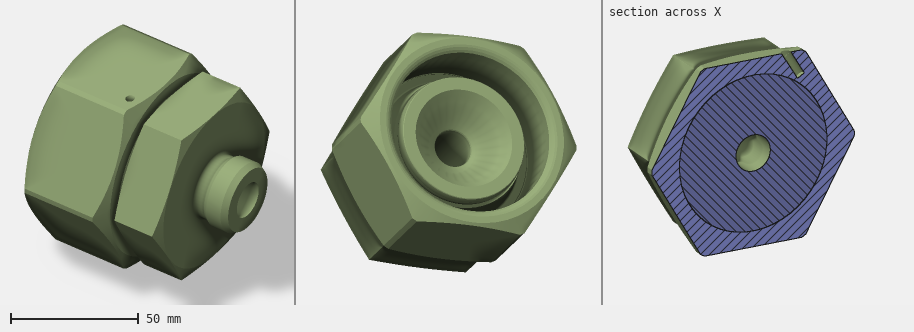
import cadquery as cq
import math

NUT_LENGTH = 40.05
NUT_FLATS = 79.0
NUT_CORNERS = 90.0
NUT_FACE_RADIUS = 38.4
NUT_CHAMFER_ANGLE = 30.0
NUT_BORE_RADIUS = 66.0 / 2
MOUTH_ROUNDING = (
    (0, 35.7),
    (0.3, 34.8),
    (0.9, 33.8),
    (1.8, NUT_BORE_RADIUS),
)

HOLE_DIAMETER = 3.5
HOLE_X = 33.1
HOLE_Y = -14.7
HOLE_TILT = 31.0
HOLE_STEP_DEPTH = 2.3
HOLE_DEPTH = 12.6
HOLE_INNER_DIAMETER = 3.3

TIP_X = 9.0
TIP_OUTER_RADIUS = 25.4
TIP_CHAMFER = 0.3
MOUTH_CONE_RADIUS = 20.2
MOUTH_CONE_DEPTH = 12.1
BORE_RADIUS = 15.0 / 2
BORE_EDGE = 0.3
SEAT_HALF_ANGLE = 12.0
FLANGE_X = 25.9
FLANGE_FILLET = 0.7
COLLAR_RADIUS = 65.25 / 2
COLLAR_CHAMFER = 0.3
HEX_START = 42.0
HEX_END = 62.9
HEX_FLATS = 70.0
HEX_CORNERS = 80.8
HEX_FACE_RADIUS = 34.8
HEX_CHAMFER_ANGLE = 15.0
COLLAR_FILLET = 0.9

STUD_END = 79.0
STUD_RADIUS = 30.0 / 2
NECK_RADIUS = 26.9 / 2
NECK_FILLET = 1.1
NECK_END = 66.8
NECK_BLEND_LENGTH = 0.6
NECK_BLEND_RISE = 0.2
STUD_START = 69.6
END_CHAMFER_LENGTH = 2.6
END_CHAMFER_DEPTH = 1.4

GROOVE_START = 11.7
GROOVE_END = 15.6
SEAL_THICKNESS = 3.3
SEAL_OUTER_RADIUS = 25.8

CUT_CLEARANCE = 0.9


def tan_deg(angle):
    return math.tan(math.radians(angle))


def turned(profile):
    """Revolve an (x, radius) profile about the X axis."""
    return profile.close().revolve(360, (0, 0, 0), (1, 0, 0))


def chamfered_hexagon(start, end, flats, corner_radius, face_radius, angle):
    """Hexagonal bar along X, flats facing +Z and -Z, corners chamfered at both ends."""
    sharp_corners = flats / math.cos(math.pi / 6)
    bar = cq.Workplane("YZ", origin=(start, 0, 0)).polygon(6, sharp_corners).extrude(end - start)
    drop = (corner_radius - face_radius) * tan_deg(angle)
    envelope = turned(
        cq.Workplane("XY")
        .moveTo(start, 0)
        .lineTo(start, face_radius)
        .lineTo(start + drop, corner_radius)
        .lineTo(end - drop, corner_radius)
        .lineTo(end, face_radius)
        .lineTo(end, 0)
    )
    return bar.intersect(envelope)


def lock_hole():
    """Stepped round hole entering the top flat and sloping down toward -Y."""
    tilt = math.radians(HOLE_TILT)
    slope = cq.Vector(0, -math.sin(tilt), -math.cos(tilt))
    entry = cq.Vector(HOLE_X, HOLE_Y, NUT_FLATS / 2)
    run_in = HOLE_DIAMETER
    mouth = cq.Solid.makeCylinder(
        HOLE_DIAMETER / 2, HOLE_STEP_DEPTH + run_in, entry - slope * run_in, slope
    )
    inner = cq.Solid.makeCylinder(HOLE_INNER_DIAMETER / 2, HOLE_DEPTH, entry, slope)
    return cq.Workplane(mouth.fuse(inner))


def make_nut():
    nut = chamfered_hexagon(
        0, NUT_LENGTH, NUT_FLATS, NUT_CORNERS / 2, NUT_FACE_RADIUS, NUT_CHAMFER_ANGLE
    )
    bore = turned(
        cq.Workplane("XY")
        .polyline(MOUTH_ROUNDING, includeCurrent=True)
        .lineTo(FLANGE_X, NUT_BORE_RADIUS)
        .lineTo(FLANGE_X, COLLAR_RADIUS)
        .lineTo(NUT_LENGTH, COLLAR_RADIUS)
        .lineTo(NUT_LENGTH, 0)
    )
    return nut.cut(bore).cut(lock_hole())


def make_seal():
    """Round-section ring lying on the groove floor, midway along the groove."""
    ring = cq.Solid.makeTorus(
        SEAL_OUTER_RADIUS - SEAL_THICKNESS / 2,
        SEAL_THICKNESS / 2,
        cq.Vector((GROOVE_START + GROOVE_END) / 2, 0, 0),
        cq.Vector(1, 0, 0),
    )
    return cq.Workplane(ring)


def seal_groove():
    """Square-sided groove, open outward through the seat cone."""
    return (
        cq.Workplane("YZ", origin=(GROOVE_START, 0, 0))
        .circle(COLLAR_RADIUS)
        .circle(SEAL_OUTER_RADIUS - SEAL_THICKNESS)
        .extrude(GROOVE_END - GROOVE_START)
    )


def adapter_front():
    """Seat cone, flange and collar on the nut side of the hexagon."""
    seat_end_radius = TIP_OUTER_RADIUS + (FLANGE_X - FLANGE_FILLET - TIP_X) * tan_deg(SEAT_HALF_ANGLE)
    return turned(
        cq.Workplane("XY")
        .moveTo(TIP_X, 0)
        .lineTo(TIP_X, TIP_OUTER_RADIUS - TIP_CHAMFER)
        .lineTo(TIP_X + TIP_CHAMFER, TIP_OUTER_RADIUS)
        .lineTo(FLANGE_X - FLANGE_FILLET, seat_end_radius)
        .tangentArcPoint((FLANGE_X, seat_end_radius + FLANGE_FILLET), relative=False)
        .lineTo(FLANGE_X, COLLAR_RADIUS - COLLAR_CHAMFER)
        .lineTo(FLANGE_X + COLLAR_CHAMFER, COLLAR_RADIUS)
        .lineTo(HEX_START - COLLAR_FILLET, COLLAR_RADIUS)
        .tangentArcPoint((HEX_START, COLLAR_RADIUS + COLLAR_FILLET), relative=False)
        .lineTo(HEX_START, 0)
    )


def adapter_stud():
    """Undercut neck and threaded end on the far side of the hexagon."""
    return turned(
        cq.Workplane("XY")
        .moveTo(STUD_END, 0)
        .lineTo(STUD_END, STUD_RADIUS - END_CHAMFER_DEPTH)
        .lineTo(STUD_END - END_CHAMFER_LENGTH, STUD_RADIUS)
        .lineTo(STUD_START, STUD_RADIUS)
        .lineTo(NECK_END + NECK_BLEND_LENGTH, NECK_RADIUS + NECK_BLEND_RISE)
        .tangentArcPoint((NECK_END, NECK_RADIUS), relative=False)
        .lineTo(HEX_END + NECK_FILLET, NECK_RADIUS)
        .tangentArcPoint((HEX_END, NECK_RADIUS + NECK_FILLET), relative=False)
        .lineTo(HEX_END, 0)
    )


def adapter_bore():
    """Conical mouth running into a straight through bore."""
    throat_x = TIP_X + MOUTH_CONE_DEPTH
    return turned(
        cq.Workplane("XY")
        .moveTo(TIP_X, 0)
        .lineTo(TIP_X, MOUTH_CONE_RADIUS)
        .lineTo(throat_x, BORE_RADIUS + BORE_EDGE)
        .lineTo(throat_x + BORE_EDGE * 2, BORE_RADIUS)
        .lineTo(STUD_END + CUT_CLEARANCE, BORE_RADIUS)
        .lineTo(STUD_END + CUT_CLEARANCE, 0)
    )


def make_adapter():
    hexagon = chamfered_hexagon(
        HEX_START, HEX_END, HEX_FLATS, HEX_CORNERS / 2, HEX_FACE_RADIUS, HEX_CHAMFER_ANGLE
    )
    body = hexagon.union(adapter_front()).union(adapter_stud())
    return body.cut(adapter_bore()).cut(seal_groove())


nut = make_nut()
adapter = make_adapter()
seal = make_seal()

result = cq.Compound.makeCompound([nut.val(), adapter.val(), seal.val()])